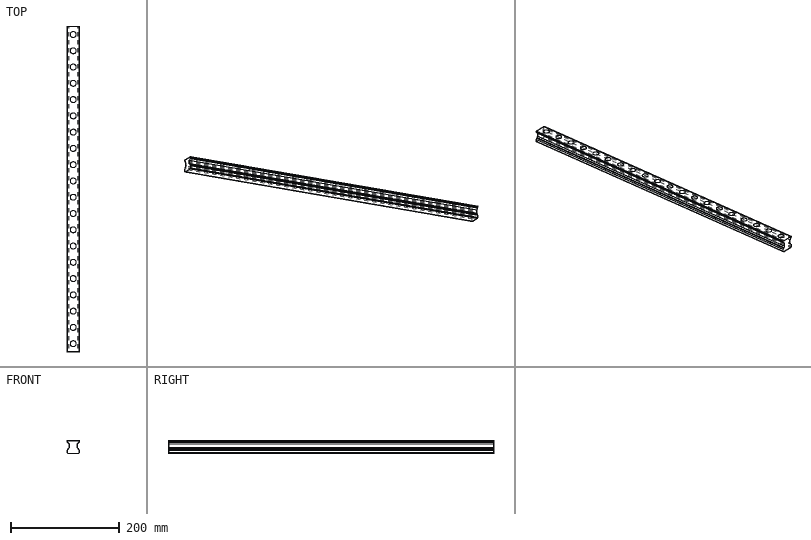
import cadquery as cq

RAIL_WIDTH = 23.0
RAIL_LENGTH = 600.0
RAIL_HEIGHT = 23.6
HALF_WIDTH = RAIL_WIDTH / 2

TOP_CHAMFER = 0.4
BOTTOM_CHAMFER = 1.5

WAIST_HALF_WIDTH = 7.5
HEAD_STEP_HALF_WIDTH = 10.3
FOOT_STEP_HALF_WIDTH = 9.6
HEAD_EDGE_Z = 21.6
FOOT_EDGE_Z = 5.8
HEAD_STEP_HEIGHT = 0.3
FOOT_STEP_HEIGHT = 1.2

RECESS_PITCH = 30.0
RECESS_COUNT = 20
RECESS_DIAMETER = 11.0
RECESS_DEPTH = 0.2


def make_rail_body():
    """Extrude the waisted, left-right symmetric section along Y."""
    head_step_top_z = HEAD_EDGE_Z - (HALF_WIDTH - HEAD_STEP_HALF_WIDTH)
    head_step_bottom_z = head_step_top_z - HEAD_STEP_HEIGHT
    waist_top_z = head_step_bottom_z - (HEAD_STEP_HALF_WIDTH - WAIST_HALF_WIDTH)
    foot_step_bottom_z = FOOT_EDGE_Z + (HALF_WIDTH - FOOT_STEP_HALF_WIDTH)
    foot_step_top_z = foot_step_bottom_z + FOOT_STEP_HEIGHT
    waist_bottom_z = foot_step_top_z + (FOOT_STEP_HALF_WIDTH - WAIST_HALF_WIDTH)

    right_side = [
        (HALF_WIDTH - BOTTOM_CHAMFER, 0),
        (HALF_WIDTH, BOTTOM_CHAMFER),
        (HALF_WIDTH, FOOT_EDGE_Z),
        (FOOT_STEP_HALF_WIDTH, foot_step_bottom_z),
        (FOOT_STEP_HALF_WIDTH, foot_step_top_z),
        (WAIST_HALF_WIDTH, waist_bottom_z),
        (WAIST_HALF_WIDTH, waist_top_z),
        (HEAD_STEP_HALF_WIDTH, head_step_bottom_z),
        (HEAD_STEP_HALF_WIDTH, head_step_top_z),
        (HALF_WIDTH, HEAD_EDGE_Z),
        (HALF_WIDTH, RAIL_HEIGHT - TOP_CHAMFER),
        (HALF_WIDTH - TOP_CHAMFER, RAIL_HEIGHT),
    ]
    left_side = [(-x, z) for x, z in reversed(right_side)]
    section = cq.Workplane("XZ").polyline(right_side + left_side).close()
    return section.extrude(RAIL_LENGTH / 2, both=True)


def make_mounting_recesses():
    """Row of round recesses, spaced evenly and centred on the length."""
    return (
        cq.Workplane("XY", origin=(0, 0, RAIL_HEIGHT - RECESS_DEPTH))
        .rarray(1, RECESS_PITCH, 1, RECESS_COUNT)
        .circle(RECESS_DIAMETER / 2)
        .extrude(RECESS_DEPTH)
    )


result = make_rail_body().cut(make_mounting_recesses())